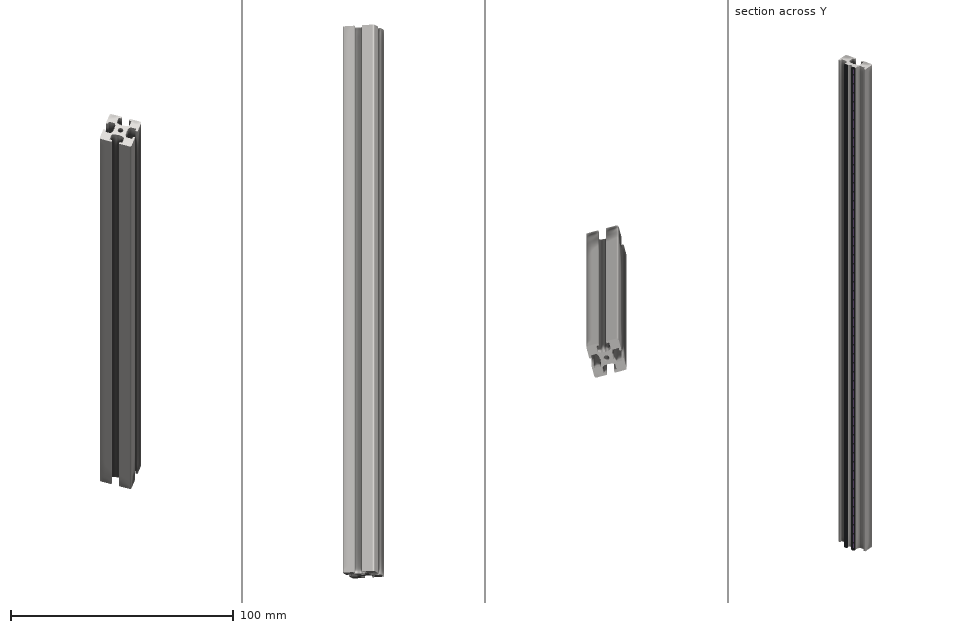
import cadquery as cq

width = 15.0
length = 250.0
corner_radius = 0.8

slot_opening = 3.5
slot_inner_width = 6.0
lip_thickness = 1.0
floor_distance = 3.0
flank_width = 1.2
flank_height = 0.8
groove_width = 1.5
groove_depth = 0.2

bore_diameter = 2.5


def slot_cutter():
    """Full-length T-slot opening towards +Y, centred on the bar axis."""
    mouth = slot_opening / 2
    wall = slot_inner_width / 2
    outer = width / 2
    lip = outer - lip_thickness
    flank_top = floor_distance + flank_height
    floor_edge = wall - flank_width
    right_half = [
        (mouth, outer),
        (mouth, lip),
        (wall, lip),
        (wall, flank_top),
        (floor_edge, floor_distance),
        (groove_width / 2, floor_distance),
    ]
    groove_bottom = (0, floor_distance - groove_depth)
    left_half = [(-x, y) for x, y in reversed(right_half)]
    return cq.Workplane("XY").polyline(right_half + [groove_bottom] + left_half).close().extrude(length)


result = cq.Workplane("XY").rect(width, width).extrude(length)
result = result.edges("|Z").fillet(corner_radius)

for side in range(4):
    result = result.cut(slot_cutter().rotate((0, 0, 0), (0, 0, 1), 90 * side))

bore = cq.Workplane("XY").circle(bore_diameter / 2).extrude(length)
result = result.cut(bore)